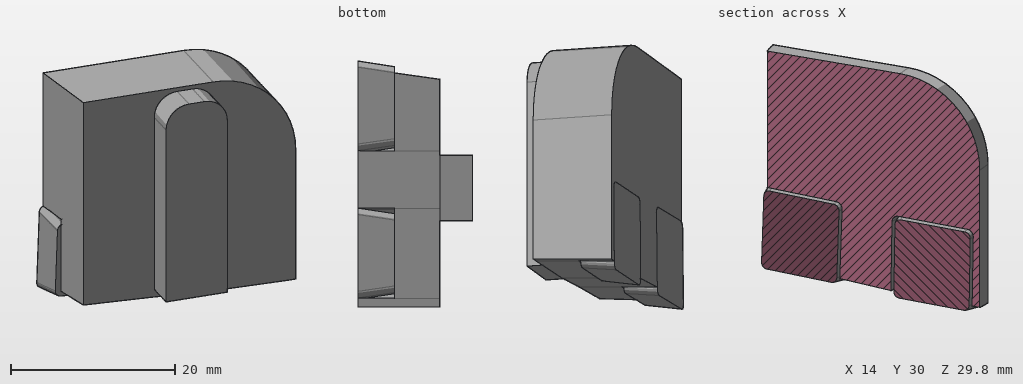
import cadquery as cq
import math


holder_thickness = 10.0
holder_height = 28.85
holder_length = 29.17
back_corner_radius = 10.8
end_relief_angle = 8.0
sole_relief_angle = 4.0

sole_breaks = [(0.0, 0.0), (1.05, 0.0), (12.0, 0.22), (19.0, 0.65), (holder_length, 1.12)]

key_depth = 4.0
key_width = 8.0
key_height = 26.0
key_corner_radius = 3.0
key_center_y = -14.5
key_top_gap = 0.5

insert_side = 10.95
insert_thickness = 4.5
insert_corner_radius = 0.8
insert_relief_angle = 8.5
insert_seats = [(-6.5, 4.64, -1.0), (-24.36, 5.42, -2.0)]

cut_margin = 5.0


def rise(angle, run):
    """Offset that a face leaning by angle gains over a run."""
    return run * math.tan(math.radians(angle))


def insert_plate(seat, relief_angle):
    """Rounded square plate on the cutting face, narrowing towards +X by the relief angle."""
    center_y, center_z, tilt = seat
    plate = (
        cq.Workplane("YZ")
        .rect(insert_side, insert_side)
        .extrude(insert_thickness, taper=relief_angle)
        .edges("not(|Y or |Z)")
        .fillet(insert_corner_radius)
    )
    return plate.rotate((0, 0, 0), (1, 0, 0), tilt).translate((0, center_y, center_z))


def holder_block():
    """Rectangular block with one large rounded top corner at the back."""
    block = cq.Workplane("XY").box(holder_thickness, holder_length, holder_height, centered=False)
    block = block.translate((0, -holder_length, 0))
    return block.edges("|X and >Y and >Z").fillet(back_corner_radius)


def end_relief_cutter():
    """Wedge that leans the -Y end face back towards the mounting face."""
    return (
        cq.Workplane("XY")
        .moveTo(0, -holder_length)
        .lineTo(holder_thickness, -holder_length + rise(end_relief_angle, holder_thickness))
        .lineTo(holder_thickness, -holder_length)
        .close()
        .extrude(holder_height)
    )


def sole_cutter():
    """Faceted slab below the sole, slanted upwards along +X."""
    outline = [cq.Vector(0, -distance, height) for distance, height in sole_breaks]
    outline.append(cq.Vector(0, -holder_length, -cut_margin))
    outline.append(cq.Vector(0, 0, -cut_margin))
    slant = cq.Vector(holder_thickness, 0, rise(sole_relief_angle, holder_thickness))
    wire = cq.Wire.makePolygon(outline, close=True)
    return cq.Workplane(cq.Solid.extrudeLinear(wire, [], slant))


def mounting_key():
    """Upright key on the mounting face with rounded top corners."""
    key_center_z = holder_height - key_top_gap - key_height / 2
    return (
        cq.Workplane("XY")
        .box(key_depth, key_width, key_height)
        .edges("|X and >Z")
        .fillet(key_corner_radius)
        .translate((holder_thickness + key_depth / 2, key_center_y, key_center_z))
    )


holder = holder_block().cut(end_relief_cutter()).cut(sole_cutter()).union(mounting_key())
for seat in insert_seats:
    holder = holder.cut(insert_plate(seat, 0))

inserts = [insert_plate(seat, insert_relief_angle) for seat in insert_seats]

result = cq.Compound.makeCompound([holder.solids().val(), *[insert.solids().val() for insert in inserts]])